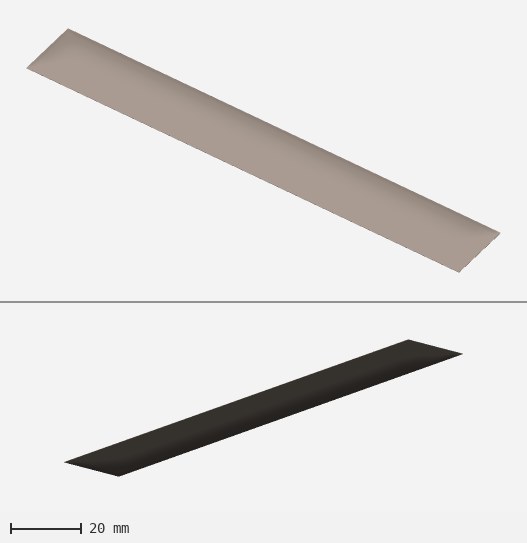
import cadquery as cq

length = 150.0
width = 20.5
thickness = 0.11

result = cq.Workplane("XY").box(length, width, thickness)